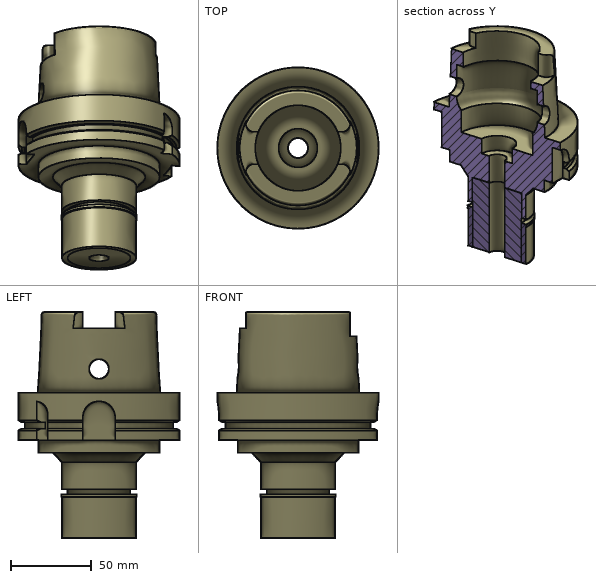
import cadquery as cq
import math


SHANK_TOP = 50.0
SHANK_BASE_RADIUS = 38.05
TAPER_SLOPE = 1 / 20
SHANK_TOP_RADIUS = SHANK_BASE_RADIUS - TAPER_SLOPE * SHANK_TOP
RIM_FILLET = 2.0

BORE_RADIUS = 26.5
CAVITY_TOP = 30.0
CAVITY_RADIUS = 31.75
CAVITY_BOTTOM = 9.0
CAVITY_CURVE_RADIUS = 12.0
WELL_RADIUS = 28.0
WELL_FLOOR = -14.5
COUNTERBORE_RADIUS = 12.0
COUNTERBORE_DEPTH = 10.0
COOLANT_HOLE_RADIUS = 6.1

NOTCH_WIDTH = 20.0
NOTCH_FLARE_RADIUS = 5.0
NOTCH_FLARE_X = 27.3
NOTCH_FLOOR_LEFT = 40.0
NOTCH_FLOOR_RIGHT = 35.0
CROSS_HOLE_RADIUS = 6.0
CROSS_HOLE_Z = 14.7

FLANGE_RADIUS = 50.0
FLANGE_BOTTOM = -29.3
GRIP_GROOVE_RADIUS = 46.0
GRIP_GROOVE_WIDTH = 4.0
GRIP_GROOVE_Z = -20.2
GRIP_GROOVE_BEVEL_DEPTH = 2.0
GRIP_GROOVE_BEVEL_HEIGHT = 1.25

DRIVE_SLOT_WIDTH = 20.0
DRIVE_SLOT_TOP = -5.3
DRIVE_SLOT_FLOOR_X = 44.0

CORNER_NOTCH_OFFSET = 31.75
CORNER_NOTCH_RADIUS = 8.0

COLLAR_RADIUS = 37.5
COLLAR_BOTTOM = -37.2
CONE_TOP_RADIUS = 28.6
NOSE_RADIUS = 23.1
NOSE_TOP = -43.0
NOSE_BOTTOM = -59.8

SPINDLE_RADIUS = 19.5
SPINDLE_TOP = NOSE_TOP
CHUCK_BOTTOM = -90.0
SLEEVE_GAP = 3.0
SLEEVE_TOP = NOSE_BOTTOM - SLEEVE_GAP
SLEEVE_RADIUS = 23.0
SLEEVE_RIM_RADIUS = 23.4
SLEEVE_RIM_HEIGHT = 2.0
SLEEVE_RIM_CHAMFER = SLEEVE_RIM_RADIUS - SLEEVE_RADIUS


def cylinder(radius, bottom, top):
    return cq.Workplane("XY").workplane(offset=bottom).circle(radius).extrude(top - bottom)


def make_turned_blank():
    """Outer shape of the holder, turned about Z."""
    groove_top = GRIP_GROOVE_Z + GRIP_GROOVE_WIDTH / 2
    groove_bottom = GRIP_GROOVE_Z - GRIP_GROOVE_WIDTH / 2
    groove_lip_radius = FLANGE_RADIUS - GRIP_GROOVE_BEVEL_DEPTH
    blank = (
        cq.Workplane("XZ")
        .moveTo(0, SHANK_TOP)
        .lineTo(SHANK_TOP_RADIUS, SHANK_TOP)
        .lineTo(SHANK_BASE_RADIUS, 0)
        .lineTo(FLANGE_RADIUS, 0)
        .lineTo(FLANGE_RADIUS, groove_top + GRIP_GROOVE_BEVEL_HEIGHT)
        .lineTo(groove_lip_radius, groove_top)
        .lineTo(GRIP_GROOVE_RADIUS, groove_top)
        .lineTo(GRIP_GROOVE_RADIUS, groove_bottom)
        .lineTo(groove_lip_radius, groove_bottom)
        .lineTo(FLANGE_RADIUS, groove_bottom - GRIP_GROOVE_BEVEL_HEIGHT)
        .lineTo(FLANGE_RADIUS, FLANGE_BOTTOM)
        .lineTo(COLLAR_RADIUS, FLANGE_BOTTOM)
        .lineTo(COLLAR_RADIUS, COLLAR_BOTTOM)
        .lineTo(CONE_TOP_RADIUS, COLLAR_BOTTOM)
        .lineTo(NOSE_RADIUS, NOSE_TOP)
        .lineTo(NOSE_RADIUS, NOSE_BOTTOM)
        .lineTo(0, NOSE_BOTTOM)
        .close()
        .revolve(360, (0, 0, 0), (0, 1, 0))
    )
    return blank.faces(">Z").edges().fillet(RIM_FILLET)


def make_holder_bores():
    """Stepped bore from the shank's end, and the spindle's seat in the nose."""
    curve_center_radius = CAVITY_RADIUS - CAVITY_CURVE_RADIUS
    curve_height = math.sqrt(CAVITY_CURVE_RADIUS**2 - (WELL_RADIUS - curve_center_radius) ** 2)
    cavity = (
        cq.Workplane("XZ")
        .moveTo(0, SHANK_TOP)
        .lineTo(BORE_RADIUS, SHANK_TOP)
        .lineTo(BORE_RADIUS, CAVITY_TOP)
        .lineTo(CAVITY_RADIUS, CAVITY_TOP)
        .lineTo(CAVITY_RADIUS, CAVITY_BOTTOM)
        .radiusArc((WELL_RADIUS, CAVITY_BOTTOM - curve_height), CAVITY_CURVE_RADIUS)
        .lineTo(WELL_RADIUS, WELL_FLOOR)
        .lineTo(0, WELL_FLOOR)
        .close()
        .revolve(360, (0, 0, 0), (0, 1, 0))
    )
    return (
        cavity.union(cylinder(COUNTERBORE_RADIUS, WELL_FLOOR - COUNTERBORE_DEPTH, WELL_FLOOR))
        .union(cylinder(COOLANT_HOLE_RADIUS, NOSE_BOTTOM, WELL_FLOOR))
        .union(cylinder(SPINDLE_RADIUS, NOSE_BOTTOM, SPINDLE_TOP))
    )


def make_end_notch(side, floor_z):
    """Notch through the shank wall on one X side, with quarter rounds leading out to a flat facing X."""
    half_width = NOTCH_WIDTH / 2
    flare_half_width = half_width + NOTCH_FLARE_RADIUS
    flare_end_x = NOTCH_FLARE_X + NOTCH_FLARE_RADIUS
    return (
        cq.Workplane("XY")
        .workplane(offset=floor_z)
        .moveTo(0, -half_width)
        .lineTo(side * NOTCH_FLARE_X, -half_width)
        .radiusArc((side * flare_end_x, -flare_half_width), side * NOTCH_FLARE_RADIUS)
        .lineTo(side * flare_end_x, -FLANGE_RADIUS)
        .lineTo(side * FLANGE_RADIUS, -FLANGE_RADIUS)
        .lineTo(side * FLANGE_RADIUS, FLANGE_RADIUS)
        .lineTo(side * flare_end_x, FLANGE_RADIUS)
        .lineTo(side * flare_end_x, flare_half_width)
        .radiusArc((side * NOTCH_FLARE_X, half_width), side * NOTCH_FLARE_RADIUS)
        .lineTo(0, half_width)
        .close()
        .extrude(SHANK_TOP - floor_z)
    )


def make_arched_slot(center_y, radius, top, inner_x, side):
    """Round-topped slot through the flange rim, with a flat floor facing the given X side."""
    arch_z = top - radius
    return (
        cq.Workplane("YZ")
        .workplane(offset=side * inner_x)
        .moveTo(center_y - radius, FLANGE_BOTTOM)
        .lineTo(center_y - radius, arch_z)
        .threePointArc((center_y, top), (center_y + radius, arch_z))
        .lineTo(center_y + radius, FLANGE_BOTTOM)
        .close()
        .extrude(side * FLANGE_RADIUS)
    )


def make_holder():
    cross_hole = (
        cq.Workplane("YZ")
        .center(0, CROSS_HOLE_Z)
        .circle(CROSS_HOLE_RADIUS)
        .extrude(FLANGE_RADIUS, both=True)
    )
    corner_notch = make_arched_slot(
        CORNER_NOTCH_OFFSET + CORNER_NOTCH_RADIUS,
        CORNER_NOTCH_RADIUS,
        DRIVE_SLOT_TOP,
        CORNER_NOTCH_OFFSET,
        -1,
    )
    holder = make_turned_blank().cut(make_holder_bores()).cut(cross_hole).cut(corner_notch)
    for side, notch_floor in ((-1, NOTCH_FLOOR_LEFT), (1, NOTCH_FLOOR_RIGHT)):
        drive_slot = make_arched_slot(0, DRIVE_SLOT_WIDTH / 2, DRIVE_SLOT_TOP, DRIVE_SLOT_FLOOR_X, side)
        holder = holder.cut(make_end_notch(side, notch_floor)).cut(drive_slot)
    return holder


def make_spindle():
    """Hollow spindle, seated in the nose and showing as a neck in the gap above the sleeve."""
    spindle = cylinder(SPINDLE_RADIUS, CHUCK_BOTTOM, SPINDLE_TOP)
    return spindle.cut(cylinder(COOLANT_HOLE_RADIUS, CHUCK_BOTTOM, SPINDLE_TOP))


def make_sleeve():
    """Release sleeve around the spindle, with a raised rim at its upper end."""
    rim_bottom = SLEEVE_TOP - SLEEVE_RIM_HEIGHT
    return (
        cq.Workplane("XZ")
        .moveTo(SPINDLE_RADIUS, SLEEVE_TOP)
        .lineTo(SLEEVE_RIM_RADIUS, SLEEVE_TOP)
        .lineTo(SLEEVE_RIM_RADIUS, rim_bottom + SLEEVE_RIM_CHAMFER)
        .lineTo(SLEEVE_RADIUS, rim_bottom)
        .lineTo(SLEEVE_RADIUS, CHUCK_BOTTOM)
        .lineTo(SPINDLE_RADIUS, CHUCK_BOTTOM)
        .close()
        .revolve(360, (0, 0, 0), (0, 1, 0))
    )


holder = make_holder()
spindle = make_spindle()
sleeve = make_sleeve()

result = cq.Compound.makeCompound([holder.val(), spindle.val(), sleeve.val()])